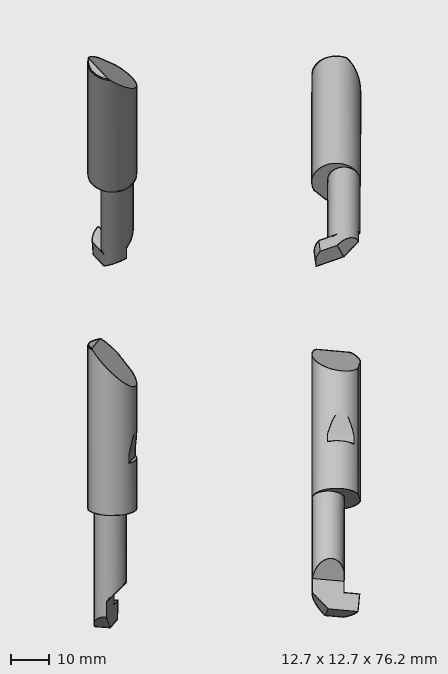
import cadquery as cq

length = 76.2
shank_diameter = 12.7
shank_radius = shank_diameter / 2
shank_bottom = 31.8

end_face_y = -4.35
end_chamfer = 0.2

side_flat_top_y = 4.2

notch_bottom = 45.4
notch_floor_top = 47.6
notch_top = 53.9
notch_depth = 1.1

neck_radius = 4.2
neck_x = shank_radius - neck_radius
rake_slope_bottom = 8.3

tip_x = -6.2
nose_x = -3.1
flank_bulge = 0.4
flank_draft = 0.45
head_back_height = 5.1
head_front_height = 4.65


def side_profile(points, half_width=shank_radius):
    """Prism along X from (Y, Z) points, just wide enough to span the bar."""
    return cq.Workplane("YZ").polyline(points).close().extrude(half_width, both=True)


def make_shank():
    shank_length = length - shank_bottom
    base = cq.Workplane("XY").workplane(offset=shank_bottom)
    shank = base.circle(shank_radius).extrude(shank_length)
    shank = shank.faces(">Z").chamfer(end_chamfer)

    slope_run = 2 * shank_radius
    slope = side_profile([
        (end_face_y, length),
        (end_face_y + slope_run, length - slope_run),
        (end_face_y + slope_run, length),
    ])

    notch_floor_y = shank_radius - notch_depth
    notch = side_profile([
        (shank_radius, notch_bottom),
        (notch_floor_y, notch_bottom),
        (notch_floor_y, notch_floor_top),
        (shank_radius, notch_top),
    ])

    chord_end_x = -(shank_radius**2 - side_flat_top_y**2) ** 0.5
    side_flat = (
        base.polyline([
            (-shank_radius, 0),
            (chord_end_x, side_flat_top_y),
            (-shank_radius, side_flat_top_y),
        ])
        .close().extrude(shank_length)
    )
    return shank.cut(slope).cut(notch).cut(side_flat)


def make_neck():
    neck = cq.Workplane("XY").center(neck_x, 0).circle(neck_radius).extrude(shank_bottom)

    rake_cut = side_profile([
        (0, 0),
        (0, rake_slope_bottom),
        (neck_radius, rake_slope_bottom + neck_radius),
        (neck_radius, 0),
    ])

    heel_cut = (
        cq.Workplane("XZ")
        .polyline([(neck_x, 0), (shank_radius, neck_radius), (shank_radius, 0)])
        .close().extrude(neck_radius, both=True)
    )
    return neck.cut(rake_cut).cut(heel_cut)


def head_outline(plane, draft):
    """Head outline with its curved flank moved inwards by the draft."""
    middle_x = (tip_x + nose_x) / 2 - flank_bulge
    middle_y = -neck_radius / 2 - flank_bulge
    return (
        plane.moveTo(neck_x, 0)
        .lineTo(tip_x + draft, 0)
        .threePointArc((middle_x + draft, middle_y), (nose_x + draft, -neck_radius))
        .lineTo(neck_x, -neck_radius)
        .close()
    )


def make_head():
    bottom = head_outline(cq.Workplane("XY"), flank_draft)
    head = head_outline(bottom.workplane(offset=head_back_height), 0).loft(ruled=True)
    top_slope = side_profile([
        (0, head_back_height),
        (-neck_radius, head_front_height),
        (-neck_radius, head_back_height),
    ])
    return head.cut(top_slope)


result = make_shank().union(make_neck()).union(make_head())